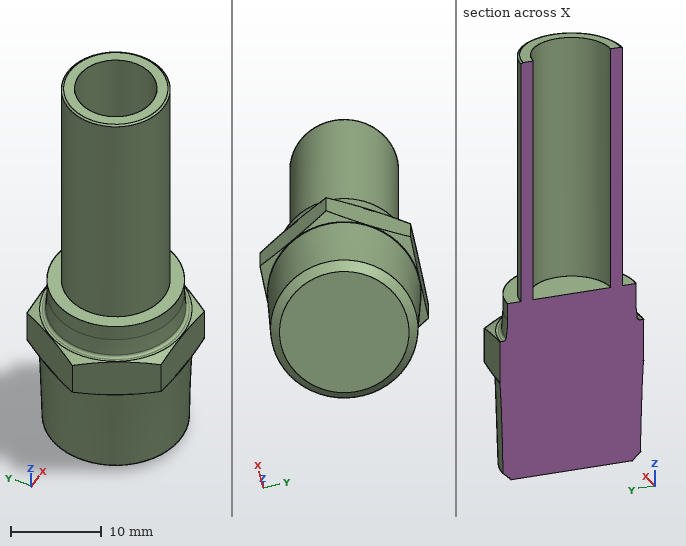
import cadquery as cq
import math

total_height = 50.6
entry_chamfer_top = 0.95
hex_bottom = 12.0
hex_top = 17.05
collar_cone_top = 19.6
collar_top = 21.55

spigot_top_dia = 17.0
spigot_taper = 1 / 16
spigot_end_dia = 14.3

across_flats = 17.0
hex_chamfer_dia = 16.85
hex_chamfer_drop = 0.5

collar_dia = 15.25
collar_foot_dia = 15.55
collar_foot_fillet = 0.35

tube_dia = 12.05
tube_edge_chamfer_width = 0.25
tube_edge_chamfer_height = 0.15
bore_dia = 9.1
bore_depth = total_height - collar_top


def make_spigot():
    """Tapered spigot with a lead-in chamfer at its lower end."""
    lower_dia = spigot_top_dia - spigot_taper * (hex_bottom - entry_chamfer_top)
    return (
        cq.Workplane("XZ")
        .moveTo(0, 0)
        .lineTo(spigot_end_dia / 2, 0)
        .lineTo(lower_dia / 2, entry_chamfer_top)
        .lineTo(spigot_top_dia / 2, hex_bottom)
        .lineTo(0, hex_bottom)
        .close()
        .revolve()
    )


def make_hexagon():
    """Hexagon with corners on the X axis, both ends turned to a shallow cone."""
    across_corners = across_flats / math.cos(math.pi / 6)
    prism = (
        cq.Workplane("XY", origin=(0, 0, hex_bottom))
        .polygon(6, across_corners)
        .extrude(hex_top - hex_bottom)
    )
    turned_blank = (
        cq.Workplane("XZ")
        .moveTo(0, hex_bottom)
        .lineTo(hex_chamfer_dia / 2, hex_bottom)
        .lineTo(across_corners / 2, hex_bottom + hex_chamfer_drop)
        .lineTo(across_corners / 2, hex_top - hex_chamfer_drop)
        .lineTo(hex_chamfer_dia / 2, hex_top)
        .lineTo(0, hex_top)
        .close()
        .revolve()
    )
    return prism.intersect(turned_blank)


def make_collar():
    """Collar with a slightly conical foot, blended into the hexagon."""
    foot_radius = collar_foot_dia / 2
    blend_top = hex_top + collar_foot_fillet
    blend_offset = collar_foot_fillet * (1 - math.sqrt(0.5))
    return (
        cq.Workplane("XZ")
        .moveTo(0, hex_top)
        .lineTo(foot_radius + collar_foot_fillet, hex_top)
        .threePointArc(
            (foot_radius + blend_offset, hex_top + blend_offset),
            (foot_radius, blend_top),
        )
        .lineTo(collar_dia / 2, collar_cone_top)
        .lineTo(collar_dia / 2, collar_top)
        .lineTo(0, collar_top)
        .close()
        .revolve()
    )


def make_tube():
    """Tube stub with a small chamfer on its outer rim."""
    radius = tube_dia / 2
    return (
        cq.Workplane("XZ")
        .moveTo(0, collar_top)
        .lineTo(radius, collar_top)
        .lineTo(radius, total_height - tube_edge_chamfer_height)
        .lineTo(radius - tube_edge_chamfer_width, total_height)
        .lineTo(0, total_height)
        .close()
        .revolve()
    )


def make_bore():
    """Blind bore entering from the free end of the tube."""
    return (
        cq.Workplane("XY", origin=(0, 0, total_height - bore_depth))
        .circle(bore_dia / 2)
        .extrude(bore_depth)
    )


body = make_spigot().union(make_hexagon()).union(make_collar()).union(make_tube())
result = body.cut(make_bore())